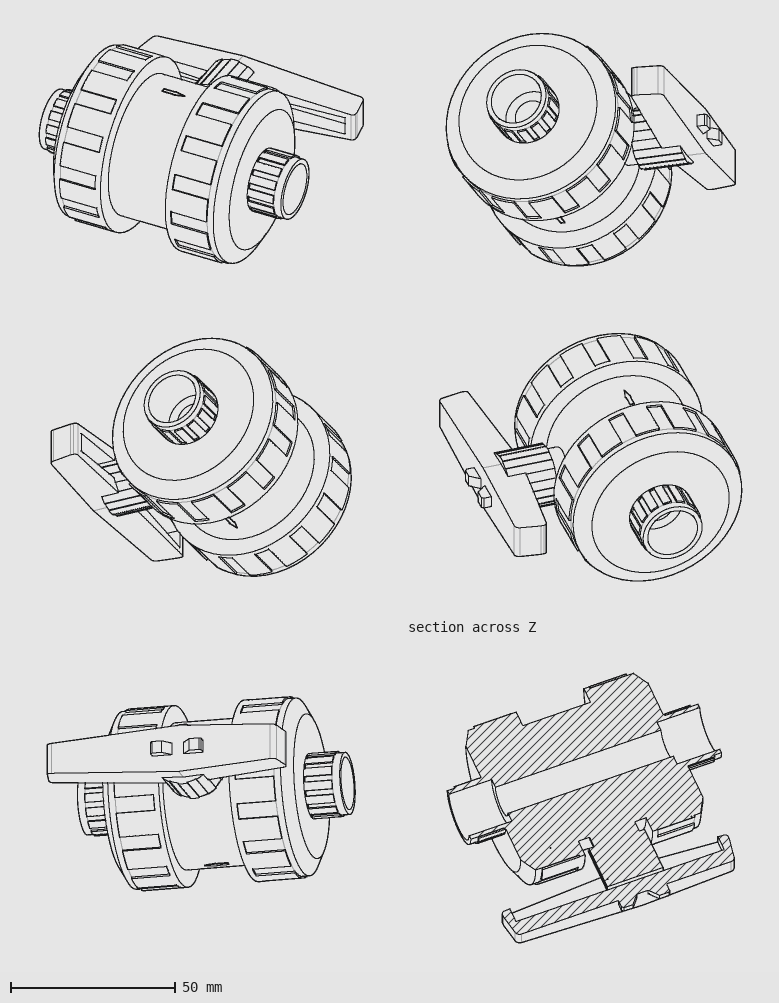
import cadquery as cq
import math


pipe_half_length = 41.2
pipe_radius = 19.0 / 2
pipe_rib_radius = 20.0 / 2
pipe_rib_start = 30.3
pipe_rib_end = 38.8
bore_radius = 10.0 / 2
socket_radius = 16.0 / 2
socket_depth = 14.0

body_radius = 45.0 / 2
nut_inner_face = 11.05
nut_rib_start = 12.9
nut_rib_end = 25.0
nut_cone_start = 27.1
nut_outer_face = 30.0
nut_radius = 54.35 / 2
nut_face_radius = 22.1
nut_rib_radius = 55.5 / 2

rib_count = 14
rib_angle = 15.7
groove_clearance = 0.8

stem_radius = 15.0 / 2
stem_root = 15.1
collar_rib_radius = 19.0 / 2
collar_groove_radius = 9.2
collar_bottom = 26.0
collar_top = 40.95
collar_rib_count = 10

handle_top = 46.8
handle_end_bottom = 37.1
handle_land_top = 39.1
handle_mid_bottom = 34.75
handle_mid_x = -0.25
handle_left_top, handle_left_bottom = -30.4, -31.7
handle_right_top, handle_right_bottom = 41.1, 42.55
handle_mid_half_width = 7.4
handle_left_half_width = 5.4
handle_right_half_width = 4.6
handle_top_fillet = 1.7
handle_bottom_fillet = 1.1
pocket_half_width = 3.0
pocket_floor = 41.9
pocket_end_wall = 3.0

tooth_top = 49.8
tooth_outer_x = 7.95
tooth_top_inner_x = 4.35
tooth_root_inner_x = 1.85
tooth_half_thickness = 1.85
tooth_chamfer = 0.6

arrow_half_length = 3.8
arrow_half_width = 0.9
arrow_shaft_half_width = 0.7
arrow_height = 0.25


def disc(x_start, x_end, radius):
    """Cylinder on the pipe axis between two X positions."""
    return cq.Workplane("YZ").workplane(offset=x_start).circle(radius).extrude(x_end - x_start)


def grooves(plane, floor_radius, rib_radius, length, count, first_angle, angle):
    """Ring of evenly spaced cutters, extruded from a plane centred on the ribbed part's axis."""
    def polar(radius, degrees):
        turn = math.radians(degrees)
        return (radius * math.cos(turn), radius * math.sin(turn))

    cutter_radius = rib_radius + groove_clearance
    cutters = []
    for index in range(count):
        start = first_angle + index * 360 / count
        middle = start + angle / 2
        end = start + angle
        cutter = (
            plane.moveTo(*polar(floor_radius, start))
            .threePointArc(polar(floor_radius, middle), polar(floor_radius, end))
            .lineTo(*polar(cutter_radius, end))
            .threePointArc(polar(cutter_radius, middle), polar(cutter_radius, start))
            .close()
            .extrude(length)
        )
        cutters.append(cutter)
    return cutters


def cut_grip(solid, x_start, x_end, floor_radius, rib_radius):
    """Cut the grip grooves into a length on the +X side and, turned half a turn about Y, on the -X side."""
    plane = cq.Workplane("YZ").workplane(offset=x_start)
    groove_angle = 360 / rib_count - rib_angle
    first_groove = 180
    cutters = grooves(plane, floor_radius, rib_radius, x_end - x_start, rib_count, first_groove, groove_angle)
    for cutter in cutters:
        opposite_cutter = cutter.rotate((0, 0, 0), (0, 1, 0), 180)
        solid = solid.cut(cutter, clean=False)
        solid = solid.cut(opposite_cutter, clean=False)
    return solid


def valve_body():
    """Body, union nuts and pipe ends as one turned part with grooved grips."""
    right_half = [
        (nut_inner_face, body_radius),
        (nut_inner_face, nut_rib_radius),
        (nut_rib_end, nut_rib_radius),
        (nut_rib_end, nut_radius),
        (nut_cone_start, nut_radius),
        (nut_outer_face, nut_face_radius),
        (nut_outer_face, pipe_rib_radius),
        (pipe_rib_end, pipe_rib_radius),
        (pipe_rib_end, pipe_radius),
        (pipe_half_length, pipe_radius),
        (pipe_half_length, 0),
    ]
    left_half = [(-x, radius) for x, radius in reversed(right_half)]
    outline = left_half + right_half
    solid = cq.Workplane("XZ").polyline(outline).close().revolve(360, (0, 0, 0), (1, 0, 0))
    solid = cut_grip(solid, nut_rib_start, nut_rib_end, nut_radius, nut_rib_radius)
    return cut_grip(solid, pipe_rib_start, pipe_rib_end, pipe_radius, pipe_rib_radius)


def bores():
    """Through bore with a wider pipe socket at each end."""
    socket_bottom = pipe_half_length - socket_depth
    return (
        disc(-pipe_half_length, pipe_half_length, bore_radius)
        .union(disc(socket_bottom, pipe_half_length, socket_radius))
        .union(disc(-pipe_half_length, -socket_bottom, socket_radius))
    )


def stem():
    """Plain stem rooted in the body, carrying the fluted collar."""
    shaft = cq.Workplane("XZ", origin=(0, stem_root, 0)).circle(stem_radius).extrude(stem_root - collar_top)
    collar_plane = cq.Workplane("XZ", origin=(0, collar_bottom, 0))
    collar_length = collar_bottom - collar_top
    collar = collar_plane.circle(collar_rib_radius).extrude(collar_length)
    groove_angle = 180 / collar_rib_count
    first_groove = 90 + groove_angle / 2
    cutters = grooves(
        collar_plane,
        collar_groove_radius,
        collar_rib_radius,
        collar_length,
        collar_rib_count,
        first_groove,
        groove_angle,
    )
    for cutter in cutters:
        collar = collar.cut(cutter)
    return shaft.union(collar)


def handle():
    """Lever tapering from its middle toward both ends, hollowed from below."""
    side = (
        cq.Workplane("XY")
        .moveTo(handle_left_top, handle_top)
        .lineTo(handle_right_top, handle_top)
        .lineTo(handle_right_bottom, handle_land_top)
        .lineTo(handle_right_bottom, handle_end_bottom)
        .lineTo(handle_mid_x, handle_mid_bottom)
        .lineTo(handle_left_bottom, handle_end_bottom)
        .lineTo(handle_left_bottom, handle_land_top)
        .close()
        .extrude(handle_mid_half_width, both=True)
    )
    side = side.edges("|Z and >Y").fillet(handle_top_fillet)
    for corner_x in (handle_left_bottom, handle_right_bottom):
        corner = cq.NearestToPointSelector((corner_x, handle_end_bottom, 0))
        side = side.edges("|Z").edges(corner).fillet(handle_bottom_fillet)
    plan_points = [
        (handle_left_bottom, handle_left_half_width),
        (handle_mid_x, handle_mid_half_width),
        (handle_right_bottom, handle_right_half_width),
        (handle_right_bottom, -handle_right_half_width),
        (handle_mid_x, -handle_mid_half_width),
        (handle_left_bottom, -handle_left_half_width),
    ]
    plan = cq.Workplane("XZ").polyline(plan_points).close().extrude(-handle_top)
    pocket_left = handle_left_bottom + pocket_end_wall
    pocket_right = handle_right_bottom - pocket_end_wall
    pocket = cq.Workplane("XY").box(
        pocket_right - pocket_left, pocket_floor, 2 * pocket_half_width, centered=(False, False, True)
    )
    return side.intersect(plan).cut(pocket.translate((pocket_left, 0, 0)))


def pointer_teeth():
    """Pair of mirrored teeth standing on the handle."""
    tooth = (
        cq.Workplane("XY")
        .moveTo(tooth_outer_x, handle_top)
        .lineTo(tooth_outer_x, tooth_top)
        .lineTo(tooth_top_inner_x, tooth_top)
        .lineTo(tooth_root_inner_x, handle_top)
        .close()
        .extrude(tooth_half_thickness, both=True)
        .edges("|Z and >X and >Y")
        .chamfer(tooth_chamfer)
    )
    return tooth.union(tooth.mirror("YZ"))


def flow_arrows():
    """Low raised arrows pointing along +X on the +Z and -Z sides of the body."""
    outline = [
        (-arrow_half_length, arrow_shaft_half_width),
        (0, arrow_shaft_half_width),
        (0, arrow_half_width),
        (arrow_half_length, 0),
        (0, -arrow_half_width),
        (0, -arrow_shaft_half_width),
        (-arrow_half_length, -arrow_shaft_half_width),
    ]
    root = body_radius - arrow_height
    arrow = cq.Workplane("XY").workplane(offset=root).polyline(outline).close().extrude(2 * arrow_height)
    return arrow.union(arrow.mirror("XY"))


lever = handle().union(stem()).union(pointer_teeth())
result = (
    valve_body()
    .union(lever, clean=False)
    .union(flow_arrows(), clean=False)
    .cut(bores(), clean=False)
)